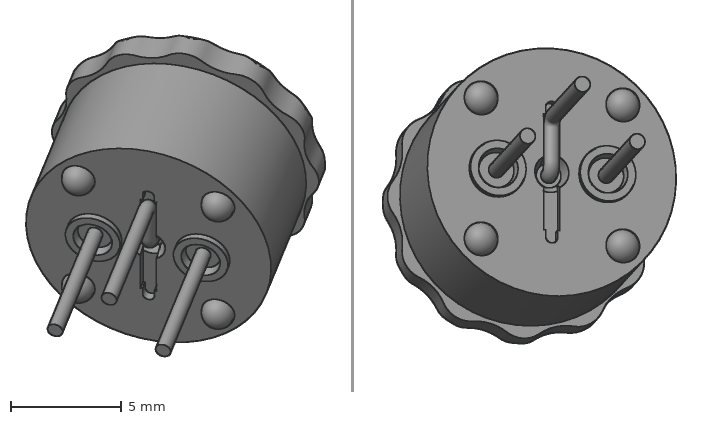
import cadquery as cq
import math


body_radius = 5.77
body_length = 5.95
neck_radius = 4.38
neck_length = 0.27
cap_thickness = 1.4
cap_radius = 6.28
cap_edge_radius = 0.39
lobe_count = 12
lobe_radius = 1.3
valley_radius = 5.86

total_length = 14.27
lead_radius = 0.35
lead_pitch = 2.54
bend_radius = 0.5
cross_run_depth = 0.07

boss_radius = 1.28
boss_height = 0.3
seat_mouth_radius = 0.91
seat_floor_radius = 0.81
seat_depth = 0.43

well_mouth_radius = 0.78
well_floor_radius = 0.57
well_depth = 0.71
well_flare_radius = 0.84
slot_width = 0.75
slot_length = 5.4
slot_tip_width = 0.55
slot_tip_length = 6.59
slot_depth = 0.44

dome_radius = 0.77
dome_offset = 3.28

neck_start = body_length
cap_start = neck_start + neck_length
cap_end = cap_start + cap_thickness
lead_tip = cap_end - total_length
seat_floor = seat_depth - boss_height
bent_lead_root = well_depth + lead_radius


def cylinder(x, z, radius, start, end):
    """Cylinder along Y between the two given Y values."""
    length = end - start
    return cq.Workplane(cq.Solid.makeCylinder(radius, length, cq.Vector(x, start, z), cq.Vector(0, 1, 0)))


def tapered_pocket(x, mouth_radius, floor_radius, start, end):
    """Cone along Y that narrows from its mouth to its floor."""
    return cq.Workplane(
        cq.Solid.makeCone(mouth_radius, floor_radius, end - start, cq.Vector(x, start, 0), cq.Vector(0, 1, 0))
    )


def polar(radius, angle):
    """X and Z at a radius, with the angle measured from +Z towards +X."""
    return (radius * math.sin(angle), radius * math.cos(angle))


def make_cap():
    """Disc with convex lobes joined tangentially by concave valleys, rounded on its rear edge."""
    half_pitch = math.pi / lobe_count
    lobe_centre = cap_radius - lobe_radius
    axial_reach = lobe_centre * math.cos(half_pitch)
    hollow_radius = (
        valley_radius**2 + lobe_centre**2 - 2 * axial_reach * valley_radius - lobe_radius**2
    ) / (2 * (lobe_radius + axial_reach - valley_radius))
    hollow_x, hollow_z = polar(valley_radius + hollow_radius, half_pitch)
    share = lobe_radius / (lobe_radius + hollow_radius)
    joint_x = share * hollow_x
    joint_z = lobe_centre + share * (hollow_z - lobe_centre)
    joint_radius = math.hypot(joint_x, joint_z)
    joint_angle = math.atan2(joint_x, joint_z)

    outline = cq.Workplane("XZ", origin=(0, cap_start, 0)).moveTo(*polar(joint_radius, -joint_angle))
    for index in range(lobe_count):
        crest = 2 * half_pitch * index
        valley = crest + half_pitch
        next_joint = crest + 2 * half_pitch - joint_angle
        outline = outline.threePointArc(polar(cap_radius, crest), polar(joint_radius, crest + joint_angle))
        outline = outline.threePointArc(polar(valley_radius, valley), polar(joint_radius, next_joint))
    scalloped = outline.close().extrude(-cap_thickness)

    rounded = cylinder(0, 0, cap_radius, cap_start, cap_end).faces(">Y").edges().fillet(cap_edge_radius)
    return scalloped.intersect(rounded)


def make_slot():
    """Shallow slot along Z with narrower round-ended tips."""
    wide = cq.Workplane("XZ").rect(slot_width, slot_length).extrude(-slot_depth)
    tips = cq.Workplane("XZ").slot2D(slot_tip_length, slot_tip_width, 90).extrude(-slot_depth)
    return wide.union(tips)


def make_well_flare():
    """Sloped entry from the slot floor down to the well floor, as wide as the slot."""
    flare = tapered_pocket(0, well_flare_radius, well_floor_radius, slot_depth, well_depth)
    slot_band = cq.Workplane("XZ").rect(slot_width, slot_length).extrude(-well_depth)
    return flare.intersect(slot_band)


def make_bent_lead():
    """Lead leaving the well, turning along the slot and turning out again at the lead pitch."""
    run_y = cross_run_depth
    inner_y = run_y + bend_radius
    outer_y = run_y - bend_radius
    diagonal = bend_radius * (1 - math.sqrt(0.5))
    path = (
        cq.Workplane("YZ")
        .moveTo(bent_lead_root, 0)
        .lineTo(inner_y, 0)
        .threePointArc((run_y + diagonal, diagonal), (run_y, bend_radius))
        .lineTo(run_y, lead_pitch - bend_radius)
        .threePointArc((run_y - diagonal, lead_pitch - diagonal), (outer_y, lead_pitch))
        .lineTo(lead_tip, lead_pitch)
    )
    section = cq.Workplane("XZ", origin=(0, bent_lead_root, 0)).circle(lead_radius)
    return section.sweep(path)


result = cylinder(0, 0, body_radius, 0, body_length)
result = result.union(cylinder(0, 0, neck_radius, neck_start, cap_start))
result = result.union(make_cap())

for dome_x in (-dome_offset, dome_offset):
    for dome_z in (-dome_offset, dome_offset):
        dome = cq.Workplane("XY").sphere(dome_radius).translate((dome_x, 0, dome_z))
        result = result.union(dome)

for lead_x in (-lead_pitch, lead_pitch):
    result = result.union(cylinder(lead_x, 0, boss_radius, -boss_height, 0))
    result = result.cut(tapered_pocket(lead_x, seat_mouth_radius, seat_floor_radius, -boss_height, seat_floor))
    result = result.union(cylinder(lead_x, 0, lead_radius, lead_tip, seat_floor))

result = result.cut(tapered_pocket(0, well_mouth_radius, well_floor_radius, 0, well_depth))
result = result.cut(make_slot())
result = result.cut(make_well_flare())
result = result.union(make_bent_lead())